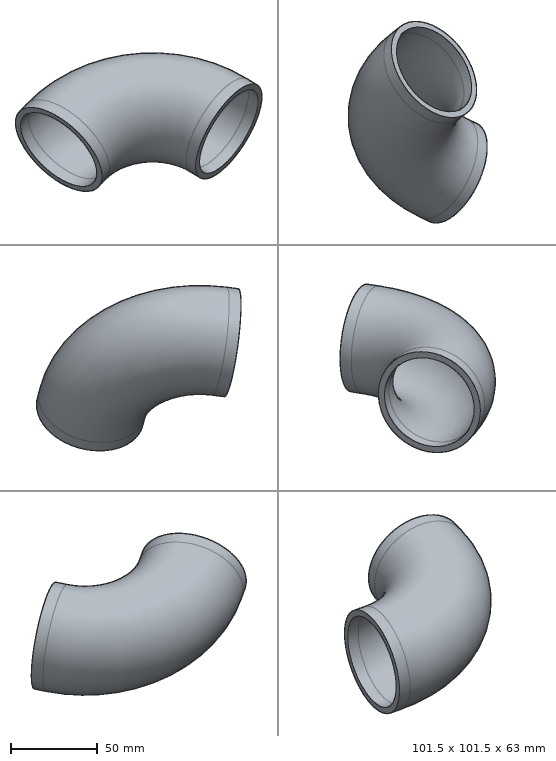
import cadquery as cq

outer_diameter = 63.0
bore_diameter = 55.4
bend_radius = 63.0
collar_length = 7.0
bend_angle = 90.0


def elbow(diameter):
    """Solid rod of the given diameter following the elbow centreline."""
    inlet = cq.Workplane("XZ").circle(diameter / 2).extrude(-collar_length)

    bend = (
        cq.Workplane("XZ", origin=(0, collar_length, 0))
        .circle(diameter / 2)
        .revolve(bend_angle, (bend_radius, 0, 0), (bend_radius, -1, 0))
    )

    outlet = (
        cq.Workplane("YZ", origin=(bend_radius, collar_length + bend_radius, 0))
        .circle(diameter / 2)
        .extrude(collar_length)
    )
    return inlet.union(bend).union(outlet)


result = elbow(outer_diameter).cut(elbow(bore_diameter))